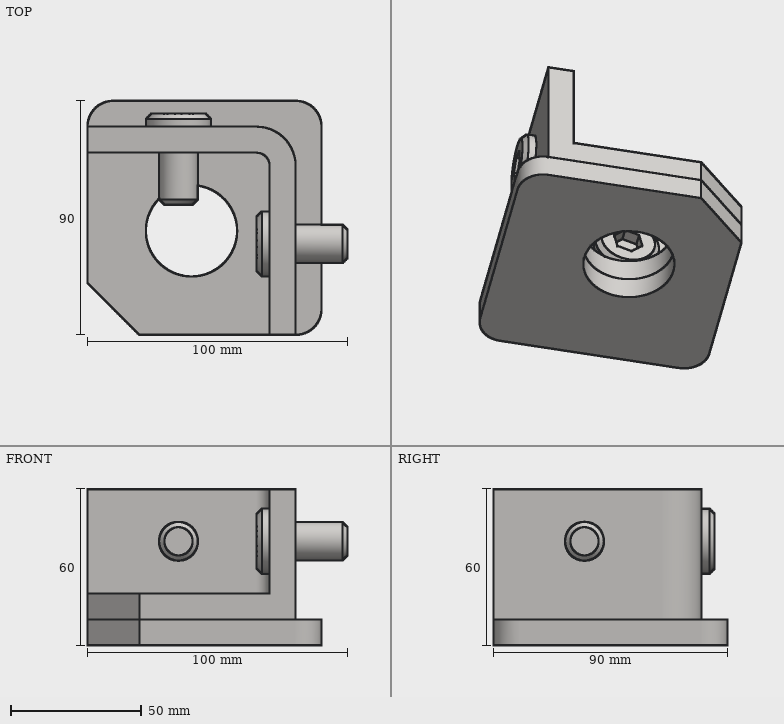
import cadquery as cq
import math

plate_size = 90.0
plate_thickness = 10.0
plate_corner_radius = 10.0

bracket_size = 80.0
bracket_thickness = 10.0
bracket_height = 50.0
bracket_inner_radius = 5.0
bracket_outer_radius = bracket_inner_radius + bracket_thickness

corner_cut = 20.0
bore_diameter = 35.0
bore_center = bracket_size / 2

shank_hole_diameter = 15.0
shank_diameter = 14.85
shank_length = 30.0
shank_chamfer = 2.0
head_diameter = 25.0
head_height = 5.0
head_chamfer = 2.0
socket_across_flats = 10.0
socket_across_corners = socket_across_flats / math.cos(math.pi / 6)
socket_depth = head_height
socket_turn = 17.5

bracket_top = plate_thickness + bracket_height
floor_top = plate_thickness + bracket_thickness
wall_inner_face = bracket_size - bracket_thickness
bolt_offset = wall_inner_face / 2
bolt_height = (floor_top + bracket_top) / 2


def cut_corner_square(size, bottom, height):
    """Square block with one corner at the origin, cut off there at 45 degrees."""
    return (
        cq.Workplane("XY", origin=(0, 0, bottom))
        .moveTo(corner_cut, 0)
        .lineTo(size, 0)
        .lineTo(size, size)
        .lineTo(0, size)
        .lineTo(0, corner_cut)
        .close()
        .extrude(height)
    )


def bore():
    """Vertical cutter for the bore that runs through plate and bracket floor."""
    return (
        cq.Workplane("XY")
        .center(bore_center, bore_center)
        .circle(bore_diameter / 2)
        .extrude(bracket_top)
    )


def make_bolt(seat, direction, socket_x_direction):
    """Socket head bolt with its head underside at seat and its shank along direction."""
    plane = cq.Plane(origin=seat, xDir=socket_x_direction, normal=direction)
    shank = (
        cq.Workplane(plane)
        .circle(shank_diameter / 2)
        .extrude(shank_length)
        .faces(cq.selectors.DirectionMinMaxSelector(cq.Vector(*direction)))
        .chamfer(shank_chamfer)
    )
    head = (
        cq.Workplane(plane)
        .circle(head_diameter / 2)
        .extrude(-head_height)
        .faces(cq.selectors.DirectionMinMaxSelector(cq.Vector(*direction), False))
        .chamfer(head_chamfer)
    )
    socket = (
        cq.Workplane(plane)
        .workplane(offset=-head_height)
        .transformed(rotate=(0, 0, socket_turn))
        .polygon(6, socket_across_corners)
        .extrude(socket_depth)
    )
    return head.union(shank).cut(socket)


def shank_hole(seat, direction):
    """Cutter for the hole that lets a bolt shank through its wall."""
    plane = cq.Plane(origin=seat, normal=direction)
    return cq.Workplane(plane).circle(shank_hole_diameter / 2).extrude(bracket_thickness)


def make_plate():
    """Base plate with three rounded corners and the fourth cut off."""
    plate = cut_corner_square(plate_size, 0, plate_thickness)
    rounded_corners = plate.edges("|Z").edges(">X or >Y")
    return rounded_corners.fillet(plate_corner_radius).cut(bore())


def make_bracket(bolt_places):
    """Floor with two upright walls that meet in a rounded corner."""
    bracket = cut_corner_square(bracket_size, plate_thickness, bracket_height)
    bracket = bracket.edges("|Z and >X and >Y").fillet(bracket_outer_radius)
    pocket = (
        cq.Workplane("XY", origin=(0, 0, floor_top))
        .rect(wall_inner_face, wall_inner_face, centered=False)
        .extrude(bracket_top - floor_top)
        .edges("|Z and >X and >Y")
        .fillet(bracket_inner_radius)
    )
    bracket = bracket.cut(pocket).cut(bore())
    for seat, direction, _ in bolt_places:
        bracket = bracket.cut(shank_hole(seat, direction))
    return bracket


bolt_places = [
    ((bolt_offset, bracket_size, bolt_height), (0, -1, 0), (1, 0, 0)),
    ((wall_inner_face, bolt_offset, bolt_height), (1, 0, 0), (0, 1, 0)),
]

plate = make_plate()
bracket = make_bracket(bolt_places)
bolts = [make_bolt(*place) for place in bolt_places]

result = cq.Compound.makeCompound(
    [plate.val(), bracket.val()] + [bolt.val() for bolt in bolts]
)